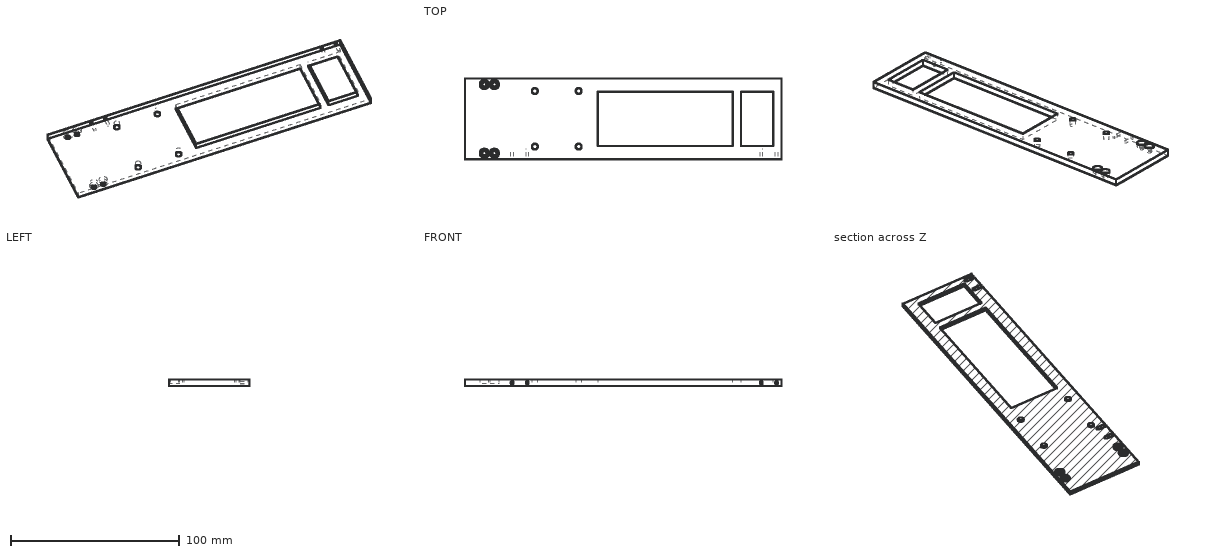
import cadquery as cq
import math

LENGTH = 188.0
WIDTH = 48.0
THICKNESS = 4.0

FRAME_MARGIN = 5.0
RIB_WIDTH = 5.0
WINDOW_WIDTH = 32.0
SMALL_WINDOW_LENGTH = 19.0
LARGE_WINDOW_LENGTH = 80.0

SCREW_HOLE_XS = (11.5, 17.5)
SCREW_ROW_SPACING = 40.8
SCREW_HOLE_DIAMETER = 2.6
COUNTERBORE_DIAMETER = 5.3
COUNTERBORE_DEPTH = 2.4

MOUNT_HOLE_DIAMETER = 3.3
MOUNT_PATTERN_CENTER_X = 54.5
MOUNT_SPACING_X = 26.0
MOUNT_SPACING_Y = 33.0

EDGE_HOLE_DIAMETER = 1.6
EDGE_HOLE_DEPTH = 6.0
DRILL_POINT_ANGLE = 118.0
EDGE_PAIR_START_XS = (28.0, 176.0)
EDGE_PAIR_SPACING = 9.0


def make_plate():
    return cq.Workplane("XY").box(LENGTH, WIDTH, THICKNESS, centered=(False, True, False))


def make_window(right_x, length):
    """Rectangular cutter whose right side lies at right_x."""
    cutter = cq.Workplane("XY").box(length, WINDOW_WIDTH, THICKNESS, centered=(False, True, False))
    return cutter.translate((right_x - length, 0, 0))


def cut_windows(body):
    small_right = LENGTH - FRAME_MARGIN
    large_right = small_right - SMALL_WINDOW_LENGTH - RIB_WIDTH
    body = body.cut(make_window(small_right, SMALL_WINDOW_LENGTH))
    return body.cut(make_window(large_right, LARGE_WINDOW_LENGTH))


def top_plane(body):
    return body.faces(">Z").workplane(origin=(0, 0, THICKNESS))


def cut_screw_holes(body):
    half_spacing = SCREW_ROW_SPACING / 2
    points = [(x, y) for x in SCREW_HOLE_XS for y in (-half_spacing, half_spacing)]
    holes = top_plane(body).pushPoints(points)
    return holes.cboreHole(SCREW_HOLE_DIAMETER, COUNTERBORE_DIAMETER, COUNTERBORE_DEPTH)


def cut_mount_holes(body):
    holes = top_plane(body).center(MOUNT_PATTERN_CENTER_X, 0)
    return holes.rarray(MOUNT_SPACING_X, MOUNT_SPACING_Y, 2, 2).hole(MOUNT_HOLE_DIAMETER)


def make_edge_drill(x):
    """Drill-shaped cutter with a conical tip, entering the front edge along +Y."""
    radius = EDGE_HOLE_DIAMETER / 2
    tip_length = radius / math.tan(math.radians(DRILL_POINT_ANGLE / 2))
    half_profile = [
        (0, 0),
        (radius, 0),
        (radius, EDGE_HOLE_DEPTH),
        (0, EDGE_HOLE_DEPTH + tip_length),
    ]
    drill = cq.Workplane("XY").polyline(half_profile).close().revolve(360, (0, 0), (0, 1))
    return drill.translate((x, -WIDTH / 2, THICKNESS / 2))


def cut_edge_holes(body):
    for start_x in EDGE_PAIR_START_XS:
        for x in (start_x, start_x + EDGE_PAIR_SPACING):
            body = body.cut(make_edge_drill(x))
    return body


result = make_plate()
result = cut_windows(result)
result = cut_screw_holes(result)
result = cut_mount_holes(result)
result = cut_edge_holes(result)